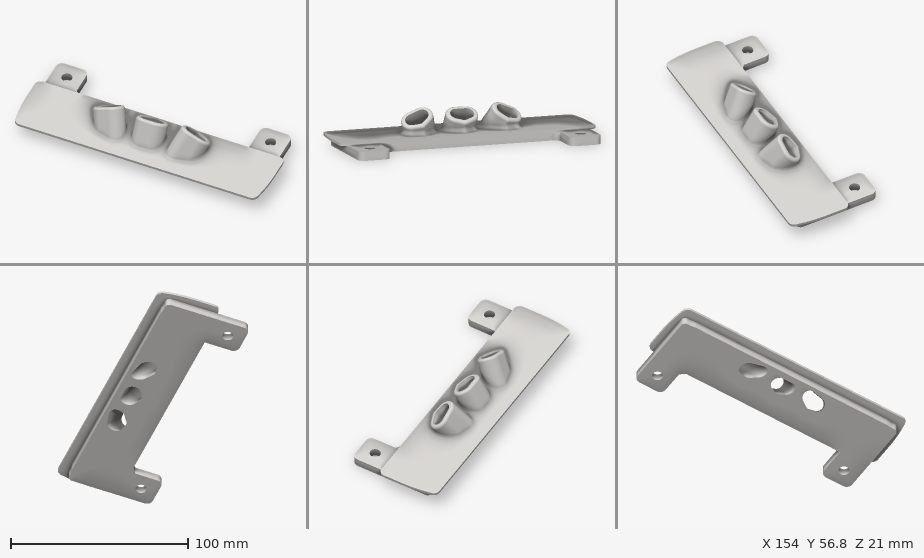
import cadquery as cq
import math

plate_width = 154.0
plate_depth = 37.0
plate_thickness = 1.5
plate_corner_radius = 3.7
side_curve_start = 21.4
side_curve_radius = 94.0

base_height = 5.1
base_half_width = 72.7
base_front = 5.5
base_front_step = 0.5
step_inner_x = 64.7
step_outer_x = 68.4
base_corner_radius = 2.5
tab_end = 56.8
tab_width = 19.0
tab_corner_radius = 3.7
tab_hole_diameter = 6.3
tab_hole_setback = 9.7
gusset_length = 3.2
gusset_depth = 2.5

nozzle_flat_half_width = 3.1
nozzle_outer_radius = 6.5
nozzle_wall = 2.5
nozzle_peak_diameter = 4.8
nozzle_peak_angle = 22.5
nozzle_back_tilt = 33.0
nozzle_side_lean = 22.5
nozzle_rim_y = 25.3
middle_rim_height = 10.2
side_rim_height = 9.7
side_rim_x = 27.3
rim_fillet = 1.5
foot_fillet = 2.0
foot_edge_margin = 0.2

plate_top = base_height + plate_thickness
nozzle_length = 61.6
nozzle_trim_size = 308.0


def make_plate():
    half = plate_width / 2

    def edge_x(y):
        """X of the right-hand side edge on its curved stretch."""
        drop = side_curve_start - y
        return half - side_curve_radius + math.sqrt(side_curve_radius**2 - drop**2)

    middle_y = side_curve_start / 2
    outline = (
        cq.Workplane("XY", origin=(0, 0, base_height))
        .moveTo(-half, plate_depth)
        .lineTo(half, plate_depth)
        .lineTo(half, side_curve_start)
        .threePointArc((edge_x(middle_y), middle_y), (edge_x(0), 0))
        .lineTo(-edge_x(0), 0)
        .threePointArc((-edge_x(middle_y), middle_y), (-half, side_curve_start))
        .close()
    )
    return outline.extrude(plate_thickness).edges("|Z and (>Y or <Y)").fillet(plate_corner_radius)


def make_base():
    step_y = base_front + base_front_step
    tab_inner_x = base_half_width - tab_width
    half_outline = [
        (0, base_front),
        (step_inner_x, base_front),
        (step_outer_x, step_y),
        (base_half_width, step_y),
        (base_half_width, tab_end),
        (tab_inner_x, tab_end),
        (tab_inner_x, plate_depth),
        (0, plate_depth),
    ]
    right_half = cq.Workplane("XY").polyline(half_outline).close().extrude(base_height)
    right_half = right_half.edges("|Z and >Y").fillet(tab_corner_radius)
    front_corner = cq.selectors.NearestToPointSelector((base_half_width, step_y, base_height / 2))
    right_half = right_half.edges(front_corner).fillet(base_corner_radius)
    base = right_half.union(right_half.mirror("YZ"))

    gusset = (
        cq.Workplane("XY")
        .polyline([
            (-tab_inner_x, plate_depth),
            (-tab_inner_x + gusset_length, plate_depth),
            (-tab_inner_x, plate_depth + gusset_depth),
        ])
        .close()
        .extrude(base_height)
    )
    hole_x = base_half_width - tab_width / 2
    holes = (
        cq.Workplane("XY")
        .pushPoints([(-hole_x, tab_end - tab_hole_setback), (hole_x, tab_end - tab_hole_setback)])
        .circle(tab_hole_diameter / 2)
        .extrude(base_height)
    )
    return base.union(gusset).cut(holes)


def nozzle_prism(radius):
    """Prism below the rim: flat front, round sides and a shallow rounded peak at the back."""
    peak = math.radians(nozzle_peak_angle)
    flat = nozzle_flat_half_width
    shoulder = (flat + radius * math.sin(peak), radius * math.cos(peak))
    side_angle = -peak / 2
    side = (flat + radius * math.cos(side_angle), radius * math.sin(side_angle))
    peak_y = radius / math.cos(peak) + flat * math.tan(peak)
    prism = (
        cq.Workplane("XY")
        .moveTo(-flat, -radius)
        .lineTo(flat, -radius)
        .threePointArc(side, shoulder)
        .lineTo(0, peak_y)
        .lineTo(-shoulder[0], shoulder[1])
        .threePointArc((-side[0], side[1]), (-flat, -radius))
        .close()
        .extrude(-nozzle_length)
    )
    peak_edge = cq.selectors.NearestToPointSelector((0, peak_y, -nozzle_length / 2))
    return prism.edges(peak_edge).fillet(nozzle_peak_diameter / 2)


def place(prism, x, lean, height):
    """Tilt a prism back, lean it sideways and move its rim into place."""
    return (
        prism.rotate((0, 0, 0), (1, 0, 0), -nozzle_back_tilt)
        .rotate((0, 0, 0), (0, 1, 0), lean)
        .translate((x, nozzle_rim_y, plate_top + height))
    )


def nozzle_foot_edges():
    """Edges on the plate top that lie inside the plate outline, where the nozzles stand."""
    half = plate_width / 2
    margin = foot_edge_margin
    return cq.selectors.BoxSelector(
        (-half + margin, margin, plate_top - margin),
        (half - margin, plate_depth - margin, plate_top + margin),
        boundingbox=True,
    )


placements = [
    (-side_rim_x, -nozzle_side_lean, side_rim_height),
    (0, 0, middle_rim_height),
    (side_rim_x, nozzle_side_lean, side_rim_height),
]
outer = nozzle_prism(nozzle_outer_radius).faces(">Z").edges().fillet(rim_fillet)
bore = nozzle_prism(nozzle_outer_radius - nozzle_wall)
above_plate_underside = (
    cq.Workplane("XY", origin=(0, 0, base_height))
    .rect(nozzle_trim_size, nozzle_trim_size)
    .extrude(nozzle_trim_size)
)

body = make_plate()
for x, lean, height in placements:
    body = body.union(place(outer, x, lean, height).intersect(above_plate_underside))
body = body.edges(nozzle_foot_edges()).fillet(foot_fillet)

result = body.union(make_base())
for x, lean, height in placements:
    result = result.cut(place(bore, x, lean, height))